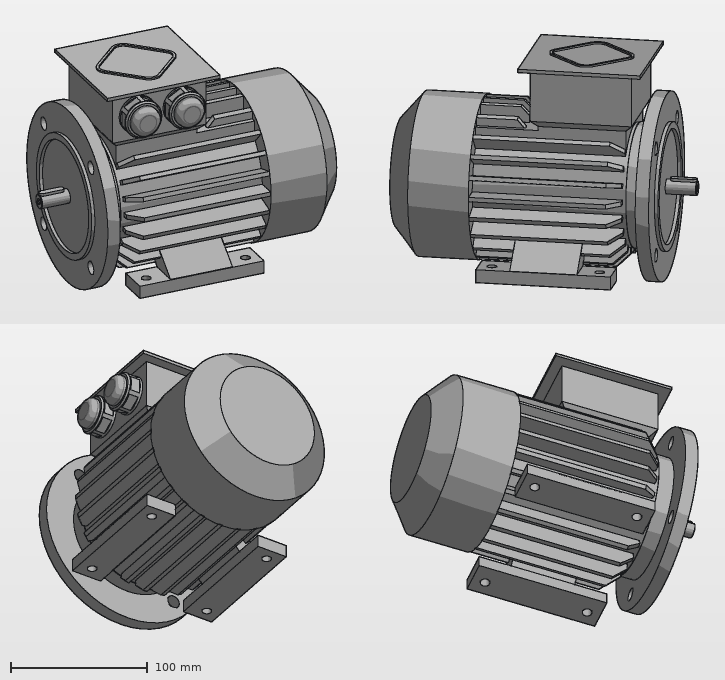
import cadquery as cq


overall_length = 221

shaft_diameter = 11.0
shaft_tip_y = -23.0
shaft_chamfer = 0.5
center_hole_diameter = 3.3
center_hole_mouth_diameter = 4.6
center_hole_depth = 8.0
key_width = 5.0
key_length = 20.0
key_tip_y = -22.8
key_top_z = 7.0

flange_diameter = 140.0
flange_thickness = 10.0
spigot_diameter = 95.0
spigot_height = 2.7
spigot_recess_diameter = 85.0
bolt_circle_diameter = 115.0
bolt_hole_diameter = 10.0
bolt_hole_count = 4

neck_diameter = 93.0
neck_end_y = 21.5
core_diameter = 92.0
fin_front_y = 24.0
fin_tip_radius = 60.3
fin_thickness = 3.3
fin_chamfer = 10.0
fin_pitch_angle = 15
last_fin_angle = 45

deck_top_z = 47.0
deck_fin_offsets = (-27.0, -12.0, 0, 12.0, 27.0)
deck_fin_thickness = 3.3
deck_fin_front_y = 99.5
deck_fin_chamfer = 6.0

cover_diameter = 122.0
cover_front_y = 135.7
cover_cone_y = 180.8
cover_back_y = shaft_tip_y + overall_length
cover_back_diameter = 82.0

box_center_y = 56.5
pedestal_size = 65.2
pedestal_top_z = 50.2
box_size = 75.4
box_bottom_z = 55.2
lid_size = 90.8
lid_bottom_z = 94.1
lid_top_z = 96.8
badge_center_y = 55.5
badge_size = 49.5
badge_height = 1.22
badge_corner_radius = 9.3
badge_rim_width = 2.0
badge_turn_angle = 45

gland_diameter = 29.5
gland_length = 12.0
gland_chamfer = 1.3
gland_z = 75.1
gland_spacing = 35.4
gland_flat_count = 6
gland_flat_distance = 13.5
gland_flat_start = 2.0
gland_flat_end = 9.7
gland_cap_diameter = 23.2
gland_cap_length = 6.9
gland_cap_fillet = 4.9

foot_outer_x = 60.5
foot_inner_x = 36.0
foot_bottom_z = -63.0
foot_top_z = -53.0
foot_center_y = 80.2
foot_length = 100.1
foot_hole_diameter = 7.0
foot_hole_x = 50.0
foot_hole_spacing = 80.0
web_length = 50.0
web_outer_x = 59.7
web_top_x = 34.0
web_top_z = -31.5


def cylinder_y(diameter, start_y, end_y):
    """Cylinder on the motor axis between two Y positions."""
    plane = cq.Workplane("XZ", origin=(0, start_y, 0))
    return plane.circle(diameter / 2).extrude(start_y - end_y)


def box_between(x_range, y_range, z_range):
    """Axis-aligned box given by its limits along X, Y and Z."""
    limits = (x_range, y_range, z_range)
    sizes = [high - low for low, high in limits]
    corner = tuple(low for low, high in limits)
    return cq.Workplane("XY").box(*sizes, centered=False).translate(corner)


def fin_envelope(front_y, chamfer):
    """Turned body that limits the fins: round tips with a sloped front end."""
    profile = cq.Workplane("XY").moveTo(0, front_y)
    profile = profile.lineTo(fin_tip_radius - chamfer, front_y)
    profile = profile.lineTo(fin_tip_radius, front_y + chamfer)
    profile = profile.lineTo(fin_tip_radius, cover_front_y)
    profile = profile.lineTo(0, cover_front_y).close()
    return profile.revolve(360, (0, 0, 0), (0, 1, 0))


def make_flange():
    flange = cylinder_y(flange_diameter, 0, flange_thickness)
    spigot = cylinder_y(spigot_diameter, -spigot_height, 0)
    recess = cylinder_y(spigot_recess_diameter, -spigot_height, 0)
    holes = (
        cq.Workplane("XZ")
        .polarArray(bolt_circle_diameter / 2, 180 / bolt_hole_count, 360, bolt_hole_count)
        .circle(bolt_hole_diameter / 2)
        .extrude(-flange_thickness)
    )
    return flange.cut(holes).union(spigot.cut(recess))


def make_shaft():
    shaft = cylinder_y(shaft_diameter, shaft_tip_y, 0)
    shaft = shaft.faces("<Y").chamfer(shaft_chamfer)
    key = (
        cq.Workplane("XY")
        .center(0, key_tip_y + key_length / 2)
        .slot2D(key_length, key_width, 90)
        .extrude(key_top_z)
    )
    hole_radius = center_hole_diameter / 2
    mouth_radius = center_hole_mouth_diameter / 2
    hole_end_y = shaft_tip_y + center_hole_depth
    center_hole = (
        cq.Workplane("XY")
        .moveTo(0, shaft_tip_y)
        .lineTo(mouth_radius, shaft_tip_y)
        .lineTo(hole_radius, shaft_tip_y + mouth_radius - hole_radius)
        .lineTo(hole_radius, hole_end_y)
        .lineTo(0, hole_end_y + hole_radius)
        .close()
        .revolve(360, (0, 0, 0), (0, 1, 0))
    )
    return shaft.union(key).cut(center_hole)


def make_body():
    neck = cylinder_y(neck_diameter, flange_thickness, neck_end_y)
    core = cylinder_y(core_diameter, neck_end_y, cover_front_y)
    half_deck = pedestal_size / 2
    deck = box_between((-half_deck, half_deck), (fin_front_y, cover_front_y), (0, deck_top_z))

    fin = box_between(
        (0, fin_tip_radius),
        (fin_front_y, cover_front_y),
        (-fin_thickness / 2, fin_thickness / 2),
    )
    sweep_angle = 180 + 2 * last_fin_angle
    fins = cq.Workplane("XY")
    for step in range(sweep_angle // fin_pitch_angle + 1):
        angle = step * fin_pitch_angle - last_fin_angle
        fins = fins.union(fin.rotate((0, 0, 0), (0, 1, 0), angle))
    fins = fins.intersect(fin_envelope(fin_front_y, fin_chamfer))

    deck_fins = cq.Workplane("XY")
    for offset in deck_fin_offsets:
        x_range = (offset - deck_fin_thickness / 2, offset + deck_fin_thickness / 2)
        y_range = (deck_fin_front_y, cover_front_y)
        deck_fins = deck_fins.union(box_between(x_range, y_range, (0, fin_tip_radius)))
    deck_fins = deck_fins.intersect(fin_envelope(deck_fin_front_y, deck_fin_chamfer))

    return neck.union(core).union(deck).union(fins).union(deck_fins)


def make_fan_cover():
    profile = cq.Workplane("XY").moveTo(0, cover_front_y)
    profile = profile.lineTo(cover_diameter / 2, cover_front_y)
    profile = profile.lineTo(cover_diameter / 2, cover_cone_y)
    profile = profile.lineTo(cover_back_diameter / 2, cover_back_y)
    profile = profile.lineTo(0, cover_back_y).close()
    return profile.revolve(360, (0, 0, 0), (0, 1, 0))


def square_block(size, bottom_z, top_z, center_y=box_center_y):
    """Upright square block, centred on the terminal box unless moved along Y."""
    plane = cq.Workplane("XY", origin=(0, center_y, bottom_z))
    return plane.rect(size, size).extrude(top_z - bottom_z)


def badge_block(inset):
    """Rounded square on the lid, with its corners pointing along X and Y."""
    size = badge_size - 2 * inset
    block = square_block(size, lid_top_z, lid_top_z + badge_height, badge_center_y)
    block = block.edges("|Z").fillet(badge_corner_radius - inset)
    return block.rotate((0, badge_center_y, 0), (0, badge_center_y, 1), badge_turn_angle)


def make_terminal_box():
    pedestal = square_block(pedestal_size, 0, pedestal_top_z)
    flare = (
        cq.Workplane("XY", origin=(0, box_center_y, pedestal_top_z))
        .rect(pedestal_size, pedestal_size)
        .workplane(offset=box_bottom_z - pedestal_top_z)
        .rect(box_size, box_size)
        .loft()
    )
    box = square_block(box_size, box_bottom_z, lid_bottom_z)
    lid = square_block(lid_size, lid_bottom_z, lid_top_z)
    badge_rim = badge_block(0).cut(badge_block(badge_rim_width))
    return pedestal.union(flare).union(box).union(lid).union(badge_rim)


def make_gland():
    """Cable gland at the origin, pointing along +X."""
    nut = cq.Workplane("YZ").circle(gland_diameter / 2).extrude(gland_length)
    nut = nut.faces(">X").chamfer(gland_chamfer)
    flat_cutter = box_between(
        (gland_flat_start, gland_flat_end),
        (gland_flat_distance, gland_diameter),
        (-gland_diameter / 2, gland_diameter / 2),
    )
    for index in range(gland_flat_count):
        angle = index * 360 / gland_flat_count
        nut = nut.cut(flat_cutter.rotate((0, 0, 0), (1, 0, 0), angle))
    cap = (
        cq.Workplane("YZ", origin=(gland_length, 0, 0))
        .circle(gland_cap_diameter / 2)
        .extrude(gland_cap_length)
        .faces(">X")
        .edges()
        .fillet(gland_cap_fillet)
    )
    return nut.union(cap)


def make_foot():
    """Foot on the +X side: a drilled plate and a sloped web up to the body."""
    plate = box_between(
        (foot_inner_x, foot_outer_x),
        (foot_center_y - foot_length / 2, foot_center_y + foot_length / 2),
        (foot_bottom_z, foot_top_z),
    )
    holes = (
        cq.Workplane("XY", origin=(foot_hole_x, foot_center_y, foot_bottom_z))
        .rarray(2.2, foot_hole_spacing, 1, 2)
        .circle(foot_hole_diameter / 2)
        .extrude(foot_top_z - foot_bottom_z)
    )
    web = (
        cq.Workplane("XZ", origin=(0, foot_center_y, 0))
        .moveTo(web_outer_x, foot_top_z)
        .lineTo(web_top_x, web_top_z)
        .lineTo(foot_inner_x / 2, web_top_z)
        .lineTo(foot_inner_x, foot_top_z)
        .close()
        .extrude(web_length / 2, both=True)
    )
    return plate.cut(holes).union(web)


result = make_flange().union(make_shaft()).union(make_body()).union(make_fan_cover())
result = result.union(make_terminal_box())

gland = make_gland()
for side in (-1, 1):
    gland_y = box_center_y + side * gland_spacing / 2
    result = result.union(gland.translate((box_size / 2, gland_y, gland_z)))

foot = make_foot()
result = result.union(foot).union(foot.mirror("YZ"))